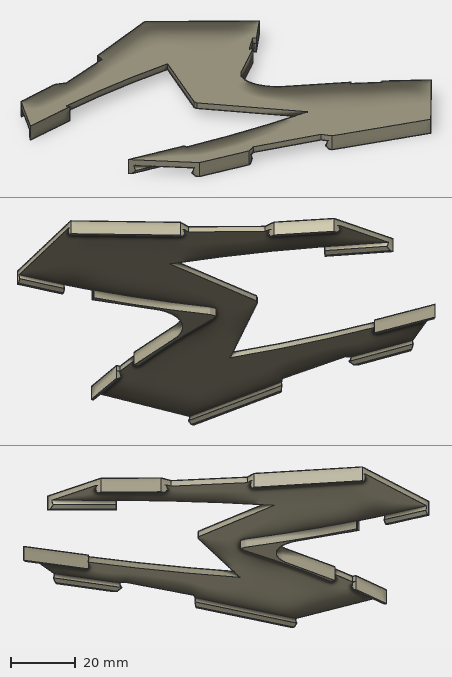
import cadquery as cq
import math

width = 124.0
length = 116.3
height = 4.6
plate_thickness = 1.9
wall_height = height - plate_thickness

wall_thickness = 1.2
lip_reach = 1.6
lip_height = 1.1
lip_root_height = 2.5
foot_thickness = 0.7
wall_overrun = 3.7

peak = (-37.3, length / 2)
shoulder = (-width / 2, 33.0)
flank_end = (-50.8, 1.1)
flank_notch = (-47.5, -0.4)
waist = (-40.5, -23.0)
shin_top = (-42.2, -26.4)
shin_bottom = (-38.7, -44.6)
leg_tip = (-21.2, -length / 2)
calf_top = (-24.8, -37.3)
calf_notch = (-26.0, -37.5)
leg_curve_middle = (-29.1, -12.8)
crotch = (-30.4, 11.0)
horn_end = (-27.3, 46.8)
horn_notch = (-28.0, 45.9)
bay_notch = (-22.0, 38.3)
bay_top = (-21.2, 39.2)
bay_arc_start = (-9.8, 22.8)

bay_bottom = (0.0, 17.2)
point_corner = (-0.6, -7.3)

bay_wall_top = (-22.3, 38.5)
bay_wall_bend = (-11.8, 23.9)
bay_wall_corner = (-1.4, 7.3)
bay_wall_bottom = (0.0, 6.0)


def mirrored(point):
    """Matching point on the other side of the symmetry plane."""
    return (-point[0], point[1])


def make_outline():
    """M-shaped outline of the whole part, extruded over the full height."""
    left_side = [
        bay_top, bay_notch, horn_notch, horn_end, peak, shoulder, flank_end, flank_notch,
        waist, shin_top, shin_bottom, leg_tip, calf_top, calf_notch,
    ]
    right_side = [mirrored(point) for point in reversed(left_side)]
    return (
        cq.Workplane("XY")
        .moveTo(*mirrored(bay_arc_start))
        .threePointArc(bay_bottom, bay_arc_start)
        .polyline(left_side, includeCurrent=True)
        .threePointArc(leg_curve_middle, crotch)
        .lineTo(*point_corner)
        .lineTo(*mirrored(point_corner))
        .lineTo(*mirrored(crotch))
        .threePointArc(mirrored(leg_curve_middle), mirrored(calf_notch))
        .polyline(right_side[1:], includeCurrent=True)
        .close()
        .extrude(height)
    )


def make_snap_wall(start, end, overrun_start=0.0, overrun_end=0.0):
    """Straight hooked wall; the inside of the part lies left of start -> end."""
    run_x = end[0] - start[0]
    run_y = end[1] - start[1]
    run = math.hypot(run_x, run_y)
    direction = (run_x / run, run_y / run)
    inward = (-direction[1], direction[0], 0)
    origin = (
        start[0] - overrun_start * direction[0],
        start[1] - overrun_start * direction[1],
        0,
    )
    section_plane = cq.Plane(origin=origin, xDir=inward, normal=(direction[0], direction[1], 0))
    return (
        cq.Workplane(section_plane)
        .lineTo(0, wall_height)
        .lineTo(wall_thickness, wall_height)
        .lineTo(wall_thickness, lip_root_height)
        .tangentArcPoint((lip_reach, lip_height), relative=False)
        .lineTo(foot_thickness, 0)
        .close()
        .extrude(run + overrun_start + overrun_end)
    )


def make_bay_wall():
    """Solid wall under the bay edge; its outer side is trimmed by the outline."""
    return (
        cq.Workplane("XY")
        .moveTo(*bay_wall_bottom)
        .lineTo(*bay_wall_corner)
        .threePointArc(bay_wall_bend, bay_wall_top)
        .lineTo(*bay_top)
        .lineTo(*mirrored(bay_top))
        .lineTo(*mirrored(bay_wall_top))
        .threePointArc(mirrored(bay_wall_bend), mirrored(bay_wall_corner))
        .close()
        .extrude(wall_height)
    )


outline = make_outline()
plate_layer = (
    cq.Workplane("XY")
    .workplane(offset=wall_height)
    .rect(width, length)
    .extrude(plate_thickness)
)
plate = outline.intersect(plate_layer)

snap_walls = [
    make_snap_wall(shoulder, flank_end, wall_overrun, wall_overrun),
    make_snap_wall(shin_top, shin_bottom, wall_overrun, wall_overrun),
    make_snap_wall(leg_tip, calf_top, overrun_start=wall_overrun),
    make_snap_wall(horn_end, peak, overrun_end=wall_overrun),
]

walls = make_bay_wall()
for snap_wall in snap_walls:
    walls = walls.union(snap_wall).union(snap_wall.mirror("YZ"))

result = plate.union(walls.intersect(outline))